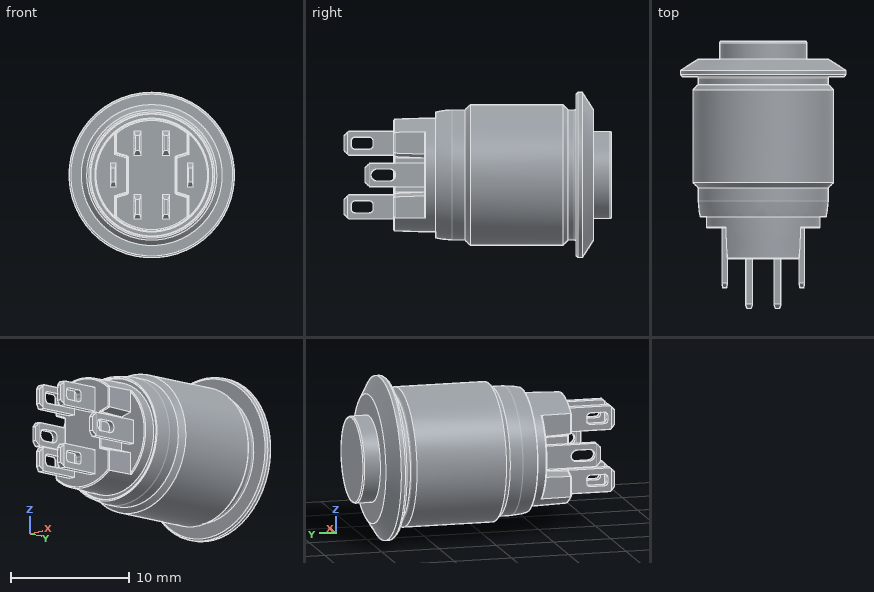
import cadquery as cq
TOTAL_LENGTH = 22.6

BUTTON_DIA = 7.4
BUTTON_TOP_Y = 3.0
BUTTON_EDGE_LENGTH = 0.14
BUTTON_EDGE_INSET = 0.07

FLANGE_DIA = 14.0
FLANGE_FACE_DIA = 11.0
FLANGE_FACE_Y = 1.5
RIM_FRONT_Y = 0.55
RIM_CHAMFER_LENGTH = 0.18
RIM_CHAMFER_INSET = 0.15

NECK_DIA = 11.0
NECK_FLARE = 0.05
NECK_FLARE_LENGTH = 0.15
BODY_DIA = 11.9
BODY_CHAMFER = (BODY_DIA - NECK_DIA) / 2
NECK_END_Y = -0.65
NECK_LIP = 0.1
NECK_LIP_LENGTH = 0.07
BODY_FRONT_Y = NECK_END_Y - BODY_CHAMFER
BODY_REAR_Y = -8.93
SHOULDER_Y = BODY_REAR_Y - BODY_CHAMFER
DOME_START_Y = -10.49
DOME_END_Y = -11.85
DOME_END_DIA = 10.65
DOME_BULGE = 0.05

RECESS_MOUTH_DIA = 10.4
RECESS_FLOOR_DIA = 10.3
RECESS_DEPTH = 0.14

INSERT_DIA = 9.63
INSERT_MIDDLE_INSET = 0.02
INSERT_END_DIA = 9.45
INSERT_END_Y = -15.4
INSERT_EDGE_LENGTH = 0.11
INSERT_EDGE_INSET = 0.07
FLOOR_EDGE_CHAMFER = 0.1

NOTCH_FLOOR_Y = -12.8
NOTCH_DRAFT_DEGREES = 2.6
NOTCH_OUTER_X = 3.16
NOTCH_INNER_X = 2.15
NOTCH_OUTER_Z = 1.76
NOTCH_INNER_Z = 1.45

PIN_ROOT = 0.23
TIP_LENGTH = 0.4
LONG_TIP_FACE_LENGTH = 0.3
LONG_PIN_X = 1.2
LONG_PIN_Z = 2.7
LONG_PIN_THICKNESS = 0.59
LONG_PIN_WIDTH = 2.05
LONG_TIP_THICKNESS = 0.35
LONG_TIP_WIDTH = 1.27
LONG_PIN_END_Y = BUTTON_TOP_Y - TOTAL_LENGTH
LONG_SLOT_LENGTH = 1.83
LONG_SLOT_WIDTH = 1.0
LONG_SLOT_CORNER = 0.32
LONG_SLOT_CENTER_FROM_END = 1.54

SHORT_PIN_X = 3.25
SHORT_PIN_THICKNESS = 0.5
SHORT_PIN_WIDTH = 2.01
SHORT_TIP_THICKNESS = 0.35
SHORT_TIP_WIDTH = 1.2
SHORT_PIN_END_Y = -17.83
SHORT_SLOT_LENGTH = 2.05
SHORT_SLOT_WIDTH = 1.0
SHORT_SLOT_CENTER_FROM_END = 1.55


def section_at(y):
    """Workplane across the axis at y, facing -Y, with local x = X and local y = Z."""
    return cq.Workplane("XZ", origin=(0, y, 0))


def make_turned_body():
    """Button, flange, housing and insert as one revolved profile."""
    button_r = BUTTON_DIA / 2
    flange_r = FLANGE_DIA / 2
    neck_r = NECK_DIA / 2
    body_r = BODY_DIA / 2
    dome_end_r = DOME_END_DIA / 2
    insert_r = INSERT_DIA / 2
    insert_end_r = INSERT_END_DIA / 2
    dome_middle = ((neck_r + dome_end_r) / 2 + DOME_BULGE, (DOME_START_Y + DOME_END_Y) / 2)
    recess_y = DOME_END_Y + RECESS_DEPTH
    insert_middle = (insert_r - INSERT_MIDDLE_INSET, (recess_y + INSERT_END_Y) / 2)
    profile = (
        cq.Workplane("ZY")
        .moveTo(0, BUTTON_TOP_Y)
        .lineTo(button_r - BUTTON_EDGE_INSET, BUTTON_TOP_Y)
        .lineTo(button_r, BUTTON_TOP_Y - BUTTON_EDGE_LENGTH)
        .lineTo(button_r, FLANGE_FACE_Y)
        .lineTo(FLANGE_FACE_DIA / 2, FLANGE_FACE_Y)
        .lineTo(flange_r, RIM_FRONT_Y)
        .lineTo(flange_r, RIM_CHAMFER_LENGTH)
        .lineTo(flange_r - RIM_CHAMFER_INSET, 0)
        .lineTo(neck_r + NECK_FLARE, 0)
        .lineTo(neck_r, -NECK_FLARE_LENGTH)
        .lineTo(neck_r, NECK_END_Y)
        .lineTo(neck_r + NECK_LIP, NECK_END_Y - NECK_LIP_LENGTH)
        .lineTo(body_r, BODY_FRONT_Y)
        .lineTo(body_r, BODY_REAR_Y)
        .lineTo(neck_r, SHOULDER_Y)
        .lineTo(neck_r, DOME_START_Y)
        .threePointArc(dome_middle, (dome_end_r, DOME_END_Y))
        .lineTo(RECESS_MOUTH_DIA / 2, DOME_END_Y)
        .lineTo(RECESS_FLOOR_DIA / 2, recess_y)
        .lineTo(insert_r, recess_y)
        .threePointArc(insert_middle, (insert_end_r, INSERT_END_Y))
        .lineTo(0, INSERT_END_Y)
        .close()
    )
    return profile.revolve(360, (0, 0, 0), (0, 1, 0))


def make_notch(side):
    """Drafted notch on one side of the insert; side is -1 or +1 along X."""
    beyond = INSERT_DIA
    outline = [
        (side * beyond, beyond),
        (side * NOTCH_OUTER_X, beyond),
        (side * NOTCH_OUTER_X, NOTCH_OUTER_Z),
        (side * NOTCH_INNER_X, NOTCH_INNER_Z),
        (side * NOTCH_INNER_X, -NOTCH_INNER_Z),
        (side * NOTCH_OUTER_X, -NOTCH_OUTER_Z),
        (side * NOTCH_OUTER_X, -beyond),
        (side * beyond, -beyond),
    ]
    depth = NOTCH_FLOOR_Y - INSERT_END_Y
    return section_at(NOTCH_FLOOR_Y).polyline(outline).close().extrude(depth, taper=-NOTCH_DRAFT_DEGREES)


def pointed_strip(plane, root_y, end_y, width, tip_width, tip_length, depth):
    """Strip along Y with a tapered end, drawn on a plane whose local x is Y."""
    tip_y = end_y + tip_length
    outline = [
        (root_y, width / 2),
        (tip_y, width / 2),
        (end_y, tip_width / 2),
        (end_y, -tip_width / 2),
        (tip_y, -width / 2),
        (root_y, -width / 2),
    ]
    return cq.Workplane(plane).polyline(outline).close().extrude(depth / 2, both=True)


def make_blade(base_y, end_y, thickness, width, tip_thickness, tip_width, tip_face_length):
    """Flat terminal centred on the axis, tapered at its tip in width and in thickness."""
    root_y = base_y + PIN_ROOT
    side_shape = pointed_strip("YZ", root_y, end_y, width, tip_width, TIP_LENGTH, thickness)
    edge_shape = pointed_strip("YX", root_y, end_y, thickness, tip_thickness, tip_face_length, width)
    return side_shape.intersect(edge_shape)


def make_long_pin():
    """Long terminal with a rounded rectangular wire hole."""
    blade = make_blade(
        INSERT_END_Y, LONG_PIN_END_Y,
        LONG_PIN_THICKNESS, LONG_PIN_WIDTH, LONG_TIP_THICKNESS, LONG_TIP_WIDTH, LONG_TIP_FACE_LENGTH,
    )
    hole = (
        cq.Workplane("XY")
        .box(LONG_PIN_THICKNESS, LONG_SLOT_LENGTH, LONG_SLOT_WIDTH)
        .edges("|X")
        .fillet(LONG_SLOT_CORNER)
        .translate((0, LONG_PIN_END_Y + LONG_SLOT_CENTER_FROM_END, 0))
    )
    return blade.cut(hole)


def make_short_pin():
    """Short terminal with a round-ended wire slot."""
    blade = make_blade(
        NOTCH_FLOOR_Y, SHORT_PIN_END_Y,
        SHORT_PIN_THICKNESS, SHORT_PIN_WIDTH, SHORT_TIP_THICKNESS, SHORT_TIP_WIDTH, TIP_LENGTH,
    )
    slot = (
        cq.Workplane("YZ")
        .center(SHORT_PIN_END_Y + SHORT_SLOT_CENTER_FROM_END, 0)
        .slot2D(SHORT_SLOT_LENGTH, SHORT_SLOT_WIDTH)
        .extrude(SHORT_PIN_THICKNESS, both=True)
    )
    return blade.cut(slot)


def make_housing():
    """Turned body with both notches cut and the insert edges broken."""
    housing = make_turned_body()
    for side in (-1, 1):
        housing = housing.cut(make_notch(side))
    housing = housing.faces("<Y").chamfer(INSERT_EDGE_INSET, INSERT_EDGE_LENGTH)
    for side in (-1, 1):
        edge_zone = cq.selectors.BoxSelector(
            (side * NOTCH_OUTER_X, NOTCH_FLOOR_Y - 0.23, -0.23),
            (side * INSERT_DIA / 2, NOTCH_FLOOR_Y + 0.23, 0.23),
        )
        housing = housing.edges(edge_zone).chamfer(FLOOR_EDGE_CHAMFER)
    return housing


result = make_housing()

long_pin = make_long_pin()
short_pin = make_short_pin()
for side in (-1, 1):
    result = result.union(short_pin.translate((side * SHORT_PIN_X, 0, 0)))
    for level in (-1, 1):
        result = result.union(long_pin.translate((side * LONG_PIN_X, 0, level * LONG_PIN_Z)))